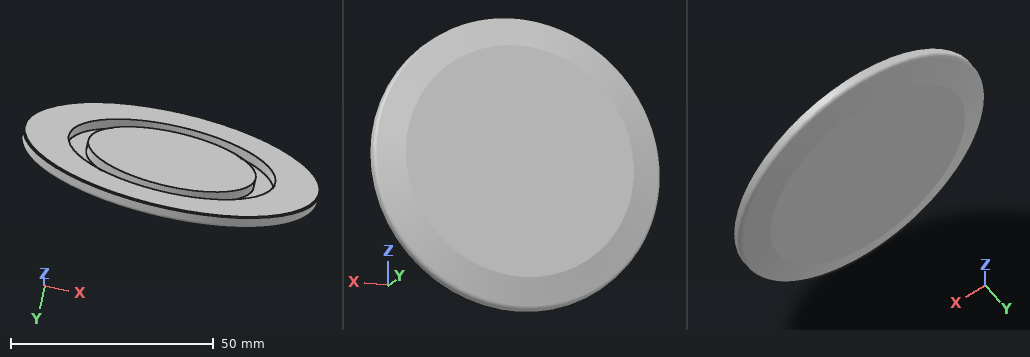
import cadquery as cq

plate_diameter = 75.0
plate_thickness = 5.1
front_edge_chamfer = 0.3

rim_height = 3.0
shoulder_radius = 1.2
back_diameter = 59.25

groove_outer_diameter = 52.3
groove_inner_diameter = 42.4
groove_depth = 2.5

plate_radius = plate_diameter / 2
front_y = -plate_thickness / 2
back_y = plate_thickness / 2
rim_top_y = front_y + rim_height


def make_plate():
    """Revolve the half section about the Y axis, then round the shoulder."""
    plate = (
        cq.Workplane("XY")
        .moveTo(0, front_y)
        .lineTo(plate_radius - front_edge_chamfer, front_y)
        .lineTo(plate_radius, front_y + front_edge_chamfer)
        .lineTo(plate_radius, rim_top_y)
        .lineTo(back_diameter / 2, back_y)
        .lineTo(0, back_y)
        .close()
        .revolve(360, (0, 0, 0), (0, 1, 0))
    )
    shoulder_edge = plate.faces("%CYLINDER").edges("%CIRCLE").edges(">Y")
    return shoulder_edge.fillet(shoulder_radius)


def make_groove():
    """Ring of material removed from the front face."""
    return (
        cq.Workplane("XZ", origin=(0, front_y, 0))
        .circle(groove_outer_diameter / 2)
        .circle(groove_inner_diameter / 2)
        .extrude(-groove_depth)
    )


result = make_plate().cut(make_groove())